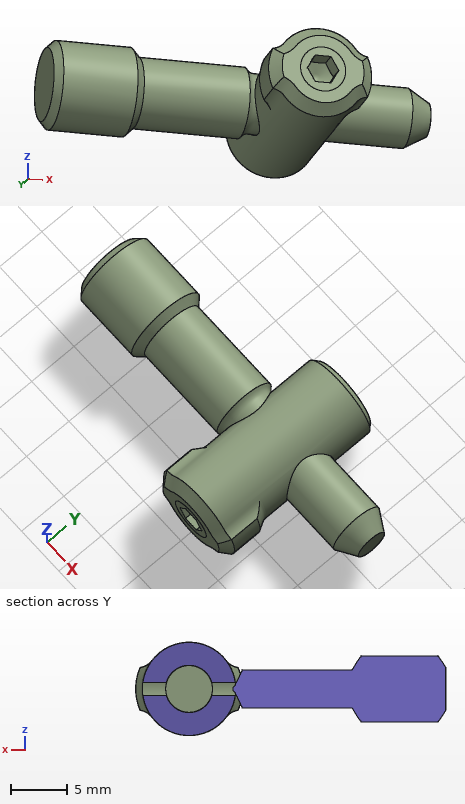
import cadquery as cq
import math


pin_length = 35.13
pin_left = -22.75
head_diameter = 8.0
head_length = 8.33
head_chamfer = 0.7
shank_diameter = 6.4
shank_end = 18.05
pin_diameter = 5.4
tip_length = 2.0
tip_angle = 30.0
root_fillet = 0.88

bar_diameter = 8.3
bar_length = 18.0
bar_front = -10.45
back_chamfer = 0.5
front_chamfer = 1.0
pin_hole_diameter = 5.5

lug_diameter = 9.5
lug_length = 5.27
lug_width = 3.8
lug_side_fillet = 1.5
lug_angle = 30.0

screw_diameter = 4.15
screw_length = -pin_diameter / 2 - bar_front
hex_flats = 2.5
hex_depth = 1.75
hex_point_angle = 30.0

pin_radius = pin_diameter / 2
bar_radius = bar_diameter / 2
lug_radius = lug_diameter / 2


def concave_blend(radius, slope):
    """Tangent length, and midpoint (along the flat, above the flat) of a fillet
    between a flat and a rise of the given slope, measured from the flat's tangent point."""
    angle = math.radians(slope)
    tangent = radius * math.tan(angle / 2)
    mid_along = radius * math.sin(angle / 2)
    mid_above = radius * (1 - math.cos(angle / 2))
    return tangent, mid_along, mid_above


def make_pin():
    head_radius = head_diameter / 2
    shank_radius = shank_diameter / 2
    pin_right = pin_left + pin_length
    head_end = pin_left + head_length
    shoulder = pin_left + shank_end
    tip_radius = pin_radius - tip_length * math.tan(math.radians(tip_angle))

    tangent, mid_along, mid_above = concave_blend(root_fillet, 45)
    cone_foot = shoulder + shank_radius - pin_radius
    blend_end = cone_foot + tangent
    blend_step = tangent * math.sin(math.radians(45))

    profile = (
        cq.Workplane("XY")
        .moveTo(pin_left, 0)
        .lineTo(pin_left, head_radius - head_chamfer)
        .lineTo(pin_left + head_chamfer, head_radius)
        .lineTo(head_end - (head_radius - shank_radius), head_radius)
        .lineTo(head_end, shank_radius)
        .lineTo(shoulder, shank_radius)
        .lineTo(cone_foot - blend_step, pin_radius + blend_step)
        .threePointArc((blend_end - mid_along, pin_radius + mid_above), (blend_end, pin_radius))
        .lineTo(pin_right - tip_length, pin_radius)
        .lineTo(pin_right, tip_radius)
        .lineTo(pin_right, 0)
        .close()
    )
    return profile.revolve(360, (0, 0, 0), (1, 0, 0))


def cylinder_along_y(diameter, start, length):
    plane = cq.Plane(origin=(0, start, 0), xDir=(-1, 0, 0), normal=(0, 1, 0))
    return cq.Workplane(plane).circle(diameter / 2).extrude(length)


def fillet_cutter(centre_x, centre_z):
    """Concave side of a lug, opening by the front chamfer towards the front end."""
    front_point = cq.Vector(centre_x, bar_front, centre_z)
    along_y = cq.Vector(0, 1, 0)
    cylinder = cq.Solid.makeCylinder(lug_side_fillet, lug_length, front_point, along_y)
    cone = cq.Solid.makeCone(
        lug_side_fillet + front_chamfer, lug_side_fillet, front_chamfer, front_point, along_y
    )
    return cylinder.fuse(cone)


def make_lugs():
    slope = math.radians(lug_angle)
    lug_back = bar_front + lug_length

    tangent, mid_along, mid_above = concave_blend(root_fillet, lug_angle)
    ramp_foot = lug_back - tangent
    ramp_top = ramp_foot - (lug_radius - bar_radius) / math.tan(slope)
    envelope = (
        cq.Workplane("XY")
        .moveTo(0, bar_front)
        .lineTo(lug_radius - front_chamfer, bar_front)
        .lineTo(lug_radius, bar_front + front_chamfer)
        .lineTo(lug_radius, ramp_top)
        .lineTo(bar_radius + tangent * math.sin(slope), ramp_foot - tangent * math.cos(slope))
        .threePointArc((bar_radius + mid_above, lug_back - mid_along), (bar_radius, lug_back))
        .lineTo(0, lug_back)
        .close()
        .revolve(360, (0, 0, 0), (0, 1, 0))
    )

    centre_distance = bar_radius + lug_side_fillet
    centre_z = lug_width / 2 + lug_side_fillet
    centre_x = math.sqrt(centre_distance**2 - centre_z**2)

    wedge_x = lug_diameter
    wedge_z = wedge_x * centre_z / centre_x
    lugs = cq.Workplane("XY")
    for side in (1, -1):
        wedge = (
            cq.Workplane("XZ", origin=(0, bar_front, 0))
            .polyline([(0, 0), (side * wedge_x, wedge_z), (side * wedge_x, -wedge_z)])
            .close()
            .extrude(-lug_length)
        )
        lug = envelope.intersect(wedge)
        for up in (1, -1):
            lug = lug.cut(cq.Workplane(fillet_cutter(side * centre_x, up * centre_z)))
        lugs = lugs.add(lug)
    return lugs


def make_crossbar():
    bar = cylinder_along_y(bar_diameter, bar_front, bar_length)
    bar = bar.faces(">Y").chamfer(back_chamfer)
    bar = bar.faces("<Y").chamfer(front_chamfer)
    bar = bar.union(make_lugs())
    pin_hole = cq.Workplane("YZ").circle(pin_hole_diameter / 2).extrude(bar_radius, both=True)
    screw_hole = cylinder_along_y(screw_diameter, bar_front, -bar_front)
    return bar.cut(pin_hole).cut(screw_hole)


def make_set_screw():
    screw = cylinder_along_y(screw_diameter, bar_front, screw_length)
    corner_radius = hex_flats / math.sqrt(3)
    point_depth = hex_depth + corner_radius * math.tan(math.radians(hex_point_angle))
    hexagon = (
        cq.Workplane("XZ", origin=(0, bar_front, 0))
        .polygon(6, 2 * corner_radius)
        .extrude(-point_depth)
    )
    drill = (
        cq.Workplane("XY")
        .moveTo(0, bar_front)
        .lineTo(corner_radius, bar_front)
        .lineTo(corner_radius, bar_front + hex_depth)
        .lineTo(0, bar_front + point_depth)
        .close()
        .revolve(360, (0, 0, 0), (0, 1, 0))
    )
    return screw.cut(hexagon.intersect(drill))


pin = make_pin()
crossbar = make_crossbar()
set_screw = make_set_screw()

result = cq.Compound.makeCompound([pin.solids().val(), crossbar.solids().val(), set_screw.solids().val()])